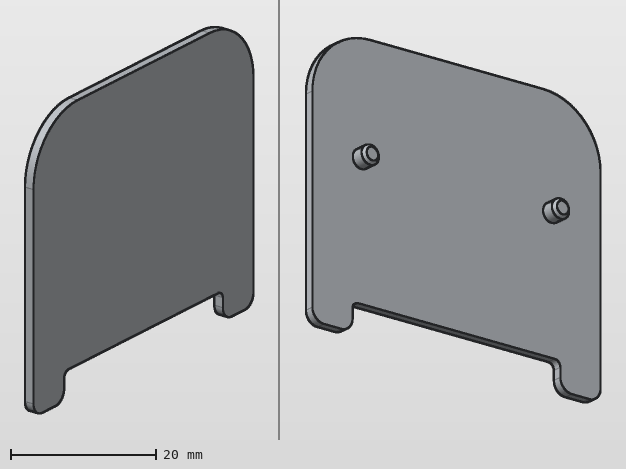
import cadquery as cq

plate_width = 50.0
plate_height = 44.0
plate_thickness = 1.5
top_corner_radius = 10.0

notch_width = 36.0
notch_height = 4.5
notch_corner_radius = 1.0
foot_corner_radius = 2.0

peg_diameter = 3.0
peg_length = 2.5
peg_chamfer = 0.5
peg_spacing = 33.0
peg_height = 26.0


def make_plate():
    """Plate with its -X face at X = 0 and its feet standing on Z = 0."""
    plate = (
        cq.Workplane("YZ")
        .rect(plate_width, plate_height)
        .extrude(plate_thickness)
        .translate((0, 0, plate_height / 2))
    )
    plate = plate.edges("|X and >Z").fillet(top_corner_radius)
    notch = (
        cq.Workplane("YZ")
        .rect(notch_width, 2 * notch_height)
        .extrude(plate_thickness)
        .edges("|X and >Z")
        .fillet(notch_corner_radius)
    )
    return plate.cut(notch).edges("|X and <Z").fillet(foot_corner_radius)


def make_peg(y):
    """Peg pointing toward -X, chamfered at its free end."""
    return (
        cq.Workplane("YZ")
        .center(y, peg_height)
        .circle(peg_diameter / 2)
        .extrude(-peg_length)
        .faces("<X")
        .chamfer(peg_chamfer)
    )


result = make_plate()
for side in (-1, 1):
    result = result.union(make_peg(side * peg_spacing / 2))